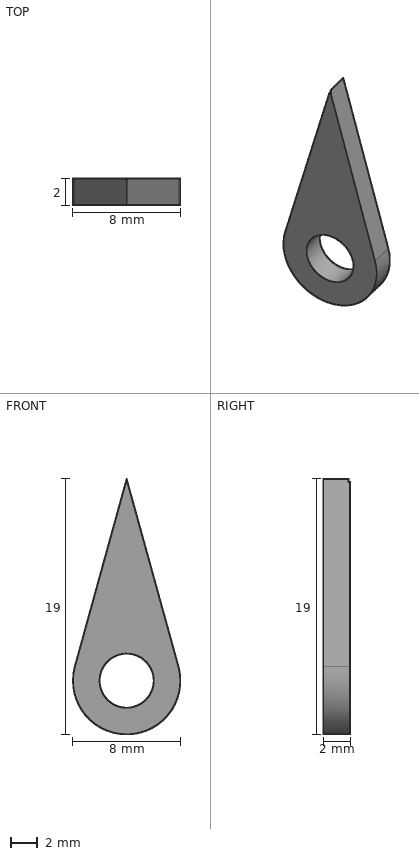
import cadquery as cq
import math

length = 19.0
width = 8.0
hole_diameter = 4.0
thickness = 2.0
notch_depth = 0.11
notch_height = 0.23

outer_radius = width / 2
tip_height = length - outer_radius

tangent_angle = math.asin(outer_radius / tip_height)
tangent_x = outer_radius * math.cos(tangent_angle)
tangent_z = outer_radius * math.sin(tangent_angle)


def teardrop_plate():
    """Flat pointer plate with its front face on Y = 0, extending toward +Y."""
    return (
        cq.Workplane("XZ")
        .moveTo(0, tip_height)
        .lineTo(tangent_x, tangent_z)
        .threePointArc((0, -outer_radius), (-tangent_x, tangent_z))
        .close()
        .extrude(-thickness)
    )


def eye_hole():
    """Through hole concentric with the round end."""
    return cq.Workplane("XZ").circle(hole_diameter / 2).extrude(-thickness)


def tip_notch():
    """Small step across the back edge of the tip."""
    return cq.Workplane("XY").box(width, notch_depth, notch_height).translate(
        (0, thickness - notch_depth / 2, tip_height - notch_height / 2)
    )


result = teardrop_plate().cut(eye_hole()).cut(tip_notch())